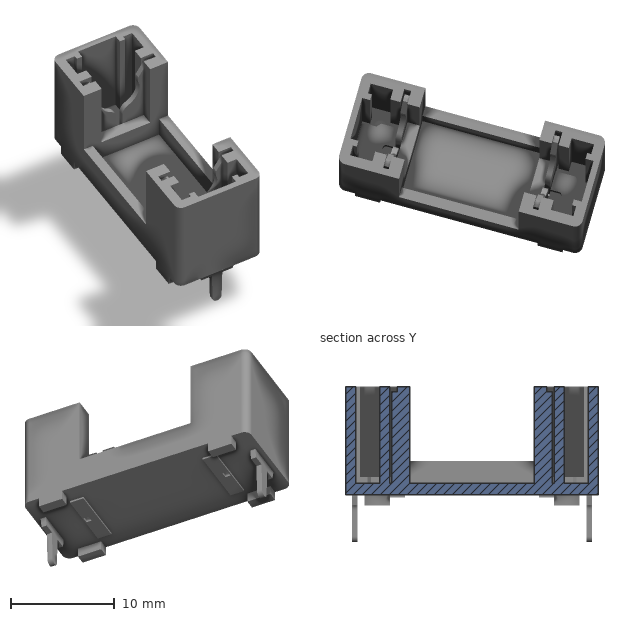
import cadquery as cq

LENGTH = 24.4
WIDTH = 9.4
HEIGHT = 10.5
CORNER_RADIUS = 0.75
WALL = 1.0
TOWER_LENGTH = 6.2
SILL_HEIGHT = 3.3
FLOOR_HEIGHT = 1.2

HALF_LENGTH = LENGTH / 2
HALF_WIDTH = WIDTH / 2
GAP_LENGTH = LENGTH - 2 * TOWER_LENGTH
CAVITY_HALF_WIDTH = HALF_WIDTH - WALL

RECESS_DEPTH = 0.6
RECESS_HALF_WIDTH = 2.1
RIB_DEPTH = 1.4
POCKET_DEPTH = WALL
POCKET_END_DEPTH = 3.25
DOORWAY_HALF_WIDTH = 2.7

SHEET = 0.55
PANEL_DEPTH = 4.42
PANEL_END_DEPTH = PANEL_DEPTH + SHEET
PANEL_HALF_WIDTH = 3.7
SLOT_HALF_WIDTH = 4.05
SLOT_CLEARANCE = 0.15
PLATE_TOP = FLOOR_HEIGHT + SHEET
PLATE_NARROW_HALF_WIDTH = 1.85
PLATE_WIDE_HALF_WIDTH = 2.25
PLATE_TAPER_START = 2.1
PLATE_TAPER_END = 2.45
BEND_RADIUS = 0.66
NOTCH_HALF_WIDTH = 0.33
NOTCH_DEPTH = 3.25
NOTCH_TIP_LENGTH = 0.25

ARM_BEND_START = (NOTCH_HALF_WIDTH, 4.55)
ARM_BEND_MIDDLE = (0.51, 5.1)
ARM_BEND_END = (0.93, 5.45)
ARM_BELLY = (1.83, 6.2)
NOSE_BOTTOM = (2.22, 7.65)
NOSE_TIP = (2.06, 8.25)
NOSE_TOP = (2.1, 8.65)
ARM_TOP = 10.0
ARM_TOP_INNER = 3.0
ARM_CORNER_RUN = 0.33
ARM_CORNER_DROP = 0.08

PIN_LENGTH = 4.5
SHOULDER_DROP = 0.95
SHOULDER_TAPER_START = 0.13
SHOULDER_TOP_HALF_WIDTH = 1.93
SHOULDER_BOTTOM_HALF_WIDTH = 1.75
PIN_ROOT_HALF_WIDTH = 0.58
PIN_TIP_RADIUS = 0.5

FOOT_DEPTH = 1.8
FOOT_LENGTH = 2.5
FOOT_WIDTH = 1.0
FOOT_HEIGHT = 1.0
PAD_END_DEPTH = 5.75
PAD_HALF_WIDTH = 3.0
PAD_HEIGHT = 0.2


def block(x_range, y_range, z_range):
    """Box between the given limits."""
    (x0, x1), (y0, y1), (z0, z1) = x_range, y_range, z_range
    return cq.Workplane("XY").box(x1 - x0, y1 - y0, z1 - z0, centered=False).translate((x0, y0, z0))


def at_depth(depth):
    """X of a point the given depth inward from the -X end."""
    return depth - HALF_LENGTH


def both_ends(shape):
    """The -X end shape together with its mirror image at the +X end."""
    return shape.union(shape.mirror("YZ"))


def sheet_at(depth, outline):
    """Closed (Y, Z) outline extruded inward by one sheet thickness from the given depth."""
    return outline.close().extrude(SHEET).translate((at_depth(depth), 0, 0))


def housing_shell():
    shell = cq.Workplane("XY").box(LENGTH, WIDTH, HEIGHT, centered=(True, True, False))
    shell = shell.edges("|Z").fillet(CORNER_RADIUS)
    half_gap = GAP_LENGTH / 2
    gap = block((-half_gap, half_gap), (-HALF_WIDTH, HALF_WIDTH), (SILL_HEIGHT, HEIGHT))
    tray = block(
        (-half_gap, half_gap), (-CAVITY_HALF_WIDTH, CAVITY_HALF_WIDTH), (FLOOR_HEIGHT, HEIGHT)
    )
    return shell.cut(gap).cut(tray)


def tower_cavity():
    """Space inside the -X tower: contact bay, corner pockets, doorway and panel slots."""
    def room(start, end, y_min, y_max, bottom=FLOOR_HEIGHT):
        return block((at_depth(start), at_depth(end)), (y_min, y_max), (bottom, HEIGHT))

    cavity = room(RIB_DEPTH, PANEL_END_DEPTH, -DOORWAY_HALF_WIDTH, DOORWAY_HALF_WIDTH)
    cavity = cavity.union(room(RECESS_DEPTH, RIB_DEPTH, -RECESS_HALF_WIDTH, RECESS_HALF_WIDTH))
    cavity = cavity.union(
        room(PANEL_END_DEPTH, TOWER_LENGTH, -DOORWAY_HALF_WIDTH, DOORWAY_HALF_WIDTH, SILL_HEIGHT)
    )
    pocket_limits = (POCKET_DEPTH, POCKET_END_DEPTH)
    cavity = cavity.union(room(*pocket_limits, DOORWAY_HALF_WIDTH, CAVITY_HALF_WIDTH))
    cavity = cavity.union(room(*pocket_limits, -CAVITY_HALF_WIDTH, -DOORWAY_HALF_WIDTH))
    cavity = cavity.union(room(PANEL_DEPTH, PANEL_END_DEPTH, 0, SLOT_HALF_WIDTH))
    return cavity.union(room(PANEL_DEPTH - SLOT_CLEARANCE, PANEL_END_DEPTH, -SLOT_HALF_WIDTH, 0))


def spring_arms():
    """Pair of upright spring arms with curved facing edges."""
    outline = (
        cq.Workplane("YZ")
        .moveTo(NOTCH_HALF_WIDTH, FLOOR_HEIGHT)
        .lineTo(*ARM_BEND_START)
        .threePointArc(ARM_BEND_MIDDLE, ARM_BEND_END)
        .threePointArc(ARM_BELLY, NOSE_BOTTOM)
        .threePointArc(NOSE_TIP, NOSE_TOP)
        .lineTo(ARM_TOP_INNER, ARM_TOP)
        .lineTo(PANEL_HALF_WIDTH - ARM_CORNER_RUN, ARM_TOP)
        .lineTo(PANEL_HALF_WIDTH, ARM_TOP - ARM_CORNER_DROP)
        .lineTo(PANEL_HALF_WIDTH, FLOOR_HEIGHT)
    )
    arm = sheet_at(PANEL_DEPTH, outline)
    return arm.union(arm.mirror("XZ"))


def contact_plate():
    """Flat plate on the tower floor, rounded over at the pin end and notched at the arms."""
    narrow = block(
        (at_depth(RECESS_DEPTH), at_depth(PLATE_TAPER_START)),
        (-PLATE_NARROW_HALF_WIDTH, PLATE_NARROW_HALF_WIDTH),
        (0, PLATE_TOP),
    )
    narrow = narrow.edges("|Y and <X and >Z").fillet(BEND_RADIUS)
    wide = (
        cq.Workplane("XY", origin=(0, 0, FLOOR_HEIGHT))
        .moveTo(at_depth(PLATE_TAPER_START), -PLATE_NARROW_HALF_WIDTH)
        .lineTo(at_depth(PLATE_TAPER_END), -PLATE_WIDE_HALF_WIDTH)
        .lineTo(at_depth(PANEL_DEPTH), -PLATE_WIDE_HALF_WIDTH)
        .lineTo(at_depth(PANEL_DEPTH), PLATE_WIDE_HALF_WIDTH)
        .lineTo(at_depth(PLATE_TAPER_END), PLATE_WIDE_HALF_WIDTH)
        .lineTo(at_depth(PLATE_TAPER_START), PLATE_NARROW_HALF_WIDTH)
        .close()
        .extrude(SHEET)
    )
    notch_shoulder = at_depth(NOTCH_DEPTH + NOTCH_TIP_LENGTH)
    notch = (
        cq.Workplane("XY", origin=(0, 0, FLOOR_HEIGHT))
        .moveTo(at_depth(PANEL_DEPTH), -NOTCH_HALF_WIDTH)
        .lineTo(notch_shoulder, -NOTCH_HALF_WIDTH)
        .threePointArc((at_depth(NOTCH_DEPTH), 0), (notch_shoulder, NOTCH_HALF_WIDTH))
        .lineTo(at_depth(PANEL_DEPTH), NOTCH_HALF_WIDTH)
        .close()
        .extrude(SHEET)
    )
    return narrow.union(wide).cut(notch)


def solder_pin():
    """Tapered shoulder and round-ended pin below the housing."""
    tip_centre = PIN_TIP_RADIUS - PIN_LENGTH
    outline = (
        cq.Workplane("YZ")
        .moveTo(-SHOULDER_TOP_HALF_WIDTH, 0)
        .lineTo(-SHOULDER_TOP_HALF_WIDTH, -SHOULDER_TAPER_START)
        .lineTo(-SHOULDER_BOTTOM_HALF_WIDTH, -SHOULDER_DROP)
        .lineTo(-PIN_ROOT_HALF_WIDTH, -SHOULDER_DROP)
        .lineTo(-PIN_TIP_RADIUS, tip_centre)
        .threePointArc((0, -PIN_LENGTH), (PIN_TIP_RADIUS, tip_centre))
        .lineTo(PIN_ROOT_HALF_WIDTH, -SHOULDER_DROP)
        .lineTo(SHOULDER_BOTTOM_HALF_WIDTH, -SHOULDER_DROP)
        .lineTo(SHOULDER_TOP_HALF_WIDTH, -SHOULDER_TAPER_START)
        .lineTo(SHOULDER_TOP_HALF_WIDTH, 0)
    )
    return sheet_at(RECESS_DEPTH, outline)


def feet_and_pad():
    """Two feet along the side walls and a thin pad under the doorway."""
    foot_end = FOOT_DEPTH + FOOT_LENGTH
    foot = block(
        (at_depth(FOOT_DEPTH), at_depth(foot_end)),
        (HALF_WIDTH - FOOT_WIDTH, HALF_WIDTH),
        (-FOOT_HEIGHT, 0),
    )
    pad = block(
        (at_depth(foot_end), at_depth(PAD_END_DEPTH)),
        (-PAD_HALF_WIDTH, PAD_HALF_WIDTH),
        (-PAD_HEIGHT, 0),
    )
    return foot.union(foot.mirror("XZ")).union(pad)


def floor_opening():
    """Hole through the floor between the two spring arms."""
    return block(
        (at_depth(PANEL_DEPTH), at_depth(PANEL_END_DEPTH)),
        (-NOTCH_HALF_WIDTH, NOTCH_HALF_WIDTH),
        (-PAD_HEIGHT, FLOOR_HEIGHT),
    )


contact = contact_plate().union(spring_arms()).union(solder_pin())
result = (
    housing_shell()
    .cut(both_ends(tower_cavity()))
    .union(both_ends(feet_and_pad()))
    .union(both_ends(contact))
    .cut(both_ends(floor_opening()))
)